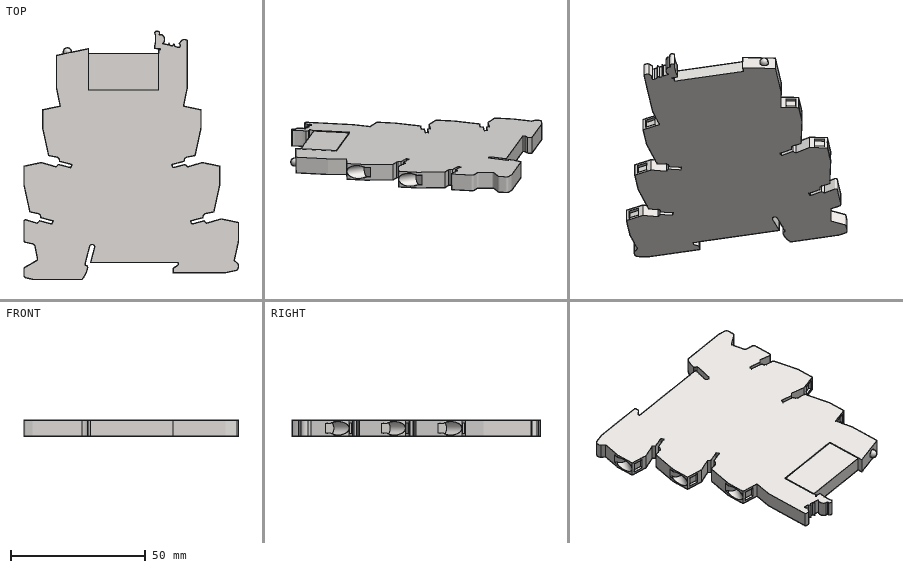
import cadquery as cq
import math

THICKNESS = 6.1
MID_Z = THICKNESS / 2
SYMMETRY_X = 36.5
TIER_SHIFT = 7.0
TIER_RISE = 21.0
LOWEST_SIDE_X = 80.0
LOWEST_CORNER_Y = 21.25
TIER_COUNT = 3
RISING_GRADE = 0.21

FOOT = (2.2, -17.1)
SHOULDER = (0.0, -7.0)
CREST_INSET = 6.5
GAP = [
    (12.0, -0.25),
    (12.9, 0.65),
    (17.4, -0.55),
    (17.9, 0.55),
    (13.3, 1.75),
    (13.1, 2.75),
    (12.5, 3.25),
]

HEAD_SIDE_X = 60.9
HEAD_SHOULDER_Y = 71.4
HEAD_CORNER_Y = 83.5
RELAY_LEFT_X = 24.1
RELAY_RIGHT_X = 50.2
RELAY_BOTTOM_Y = 70.6
RELAY_TOP_Y = 84.25
RELAY_RECESS = 0.3

RAIL_Y = 6.25
RIGHT_FOOT_Y = 2.5

LAMP_X = 16.2
LAMP_RADIUS = 1.55
LAMP_TOP_Y = 86.35
LAMP_ROOT_Y = 82.0

FUNNEL_RADIUS = 2.5
FUNNEL_DEPTH = 7.2
FUNNEL_TILT = math.radians(38)
FUNNEL_LIP_WIDTH = 3.66
FUNNEL_LIP_DEPTH = 2.0
FUNNEL_LIP_START = 1.9
FUNNEL_LIP_END = 5.6
SCREW_POCKET_START = 1.1
SCREW_POCKET_LENGTH = 3.7
SCREW_POCKET_HEIGHT = 4.0
SCREW_POCKET_DEPTH = 1.0


def mirrored(x):
    """X on the other side of the terrace symmetry line."""
    return 2 * SYMMETRY_X - x


def tier_side(tier):
    return LOWEST_SIDE_X - tier * TIER_SHIFT


def tier_corner(tier):
    return LOWEST_CORNER_Y + tier * TIER_RISE


def place(tier, points):
    """Turn inset and height pairs of a tier into right-hand XY points."""
    return [(tier_side(tier) - inset, tier_corner(tier) + height) for inset, height in points]


def mirror_down(points):
    """The same points on the left side, in descending order."""
    return [(mirrored(x), y) for x, y in reversed(points)]


def tier_points(tier):
    """Side, corner and crest of one tier, rising; the top tier ends in the head."""
    outline = [SHOULDER, (0, 0), (CREST_INSET, RISING_GRADE * CREST_INSET)]
    if tier > 0:
        outline.insert(0, FOOT)
    return place(tier, outline)


def terrace_points(first_tier):
    """All tiers from first_tier up, with the gaps between them."""
    points = []
    for tier in range(first_tier, TIER_COUNT):
        points += tier_points(tier)
        if tier < TIER_COUNT - 1:
            points += place(tier, GAP)
    return points


def make_housing():
    right_head = [(HEAD_SIDE_X, HEAD_SHOULDER_Y), (HEAD_SIDE_X, HEAD_CORNER_Y)]
    relay_left_top = HEAD_CORNER_Y + RISING_GRADE * (RELAY_LEFT_X - mirrored(HEAD_SIDE_X))
    relay_right_top = HEAD_CORNER_Y + RISING_GRADE * (HEAD_SIDE_X - RELAY_RIGHT_X)
    relay_notch = [
        (RELAY_RIGHT_X, relay_right_top),
        (RELAY_RIGHT_X, RELAY_TOP_Y),
        (RELAY_LEFT_X, RELAY_TOP_Y),
        (RELAY_LEFT_X, relay_left_top),
    ]
    outline = (
        cq.Workplane("XY")
        .moveTo(3.4, 0)
        .lineTo(21.7, 0)
        .threePointArc((23.0, 2.0), (23.8, 4.5))
        .lineTo(23.7, 5.1)
        .lineTo(22.9, 5.3)
        .lineTo(22.9, 6.1)
        .lineTo(24.5, 12.2)
        .threePointArc((25.6, 13.0), (26.35, 12.1))
        .lineTo(24.8, RAIL_Y)
        .lineTo(57.5, RAIL_Y)
        .lineTo(57.4, 5.35)
        .lineTo(55.6, 4.2)
        .lineTo(55.6, RIGHT_FOOT_Y)
        .lineTo(75.2, RIGHT_FOOT_Y)
        .lineTo(79.3, 3.4)
        .threePointArc((79.97, 4.6), (79.75, 5.9))
        .lineTo(78.4, 7.1)
    )
    rising = terrace_points(0) + right_head
    falling = mirror_down(terrace_points(1) + right_head)
    for point in rising + relay_notch + falling + mirror_down(place(0, GAP)):
        outline = outline.lineTo(*point)
    outline = (
        outline
        .lineTo(1.0, 22.2)
        .threePointArc((0.3, 22.15), (0, 21.7))
        .lineTo(0, 14.65)
        .threePointArc((0.19, 14.1), (0.68, 13.8))
        .lineTo(3.4, 13.2)
        .threePointArc((3.85, 12.95), (4.1, 12.4))
        .lineTo(5.0, 7.9)
        .threePointArc((5.0, 7.4), (4.6, 7.0))
        .lineTo(0.6, 4.7)
        .threePointArc((0.15, 4.35), (0, 3.9))
        .lineTo(0, 1.6)
        .threePointArc((0.2, 1.0), (0.8, 0.6))
        .close()
    )
    return outline.extrude(THICKNESS)


def make_marker_latch():
    """Toothed carrier on the right end of the head."""
    return (
        cq.Workplane("XY")
        .moveTo(HEAD_SIDE_X, HEAD_CORNER_Y)
        .lineTo(HEAD_SIDE_X, 89.1)
        .threePointArc((59.8, 89.45), (58.9, 89.2))
        .lineTo(57.8, 87.9)
        .lineTo(58.3, 87.4)
        .lineTo(58.1, 86.55)
        .lineTo(57.3, 86.55)
        .lineTo(56.3, 86.9)
        .lineTo(55.9, 87.8)
        .lineTo(55.4, 87.05)
        .lineTo(54.4, 87.25)
        .lineTo(54.1, 88.1)
        .lineTo(53.8, 87.45)
        .lineTo(51.8, 87.9)
        .threePointArc((52.4, 89.9), (51.4, 91.2))
        .lineTo(50.5, 91.25)
        .lineTo(50.6, 91.9)
        .threePointArc((49.6, 92.55), (48.7, 91.9))
        .lineTo(48.95, 91.1)
        .lineTo(48.95, 89.05)
        .threePointArc((48.9, 87.9), (48.65, 86.8))
        .lineTo(48.75, 86.0)
        .lineTo(50.8, 85.9)
        .lineTo(50.8, HEAD_CORNER_Y)
        .close()
        .extrude(THICKNESS)
    )


def make_lamp():
    """Round lamp with a domed end, standing along Y on the left roof."""
    dome_y = LAMP_TOP_Y - LAMP_RADIUS
    return (
        cq.Workplane("XY", origin=(LAMP_X, 0, MID_Z))
        .moveTo(0, LAMP_ROOT_Y)
        .lineTo(LAMP_RADIUS, LAMP_ROOT_Y)
        .lineTo(LAMP_RADIUS, dome_y)
        .radiusArc((0, LAMP_TOP_Y), -LAMP_RADIUS)
        .close()
        .revolve(360, (0, 0, 0), (0, 1, 0))
    )


def make_relay_recess():
    return (
        cq.Workplane("XY", origin=(0, 0, THICKNESS - RELAY_RECESS))
        .moveTo(RELAY_LEFT_X, RELAY_BOTTOM_Y)
        .lineTo(RELAY_RIGHT_X, RELAY_BOTTOM_Y)
        .lineTo(RELAY_RIGHT_X, RELAY_TOP_Y)
        .lineTo(RELAY_LEFT_X, RELAY_TOP_Y)
        .close()
        .extrude(RELAY_RECESS)
    )


def make_left_openings(tier):
    """Wire funnel in the side and screw pocket in the roof of a left tier."""
    side_x = mirrored(tier_side(tier))
    corner_y = tier_corner(tier)

    along = cq.Vector(math.sin(FUNNEL_TILT), -math.cos(FUNNEL_TILT), 0)
    outward = cq.Vector(-math.cos(FUNNEL_TILT), -math.sin(FUNNEL_TILT), 0)
    corner = cq.Vector(side_x, corner_y, MID_Z)
    start = corner + outward * FUNNEL_RADIUS - along * FUNNEL_RADIUS
    bore = cq.Solid.makeCylinder(FUNNEL_RADIUS, FUNNEL_DEPTH + FUNNEL_RADIUS, start, along)

    lip_plane = cq.Plane(corner + along * FUNNEL_DEPTH, outward, along * -1)
    lip = (
        cq.Workplane(lip_plane)
        .center((FUNNEL_LIP_START + FUNNEL_LIP_END) / 2, 0)
        .rect(FUNNEL_LIP_END - FUNNEL_LIP_START, FUNNEL_LIP_WIDTH)
        .extrude(FUNNEL_LIP_DEPTH)
    )

    roof_angle = math.degrees(math.atan(RISING_GRADE))
    pocket = (
        cq.Workplane("XY")
        .box(SCREW_POCKET_LENGTH, 2 * SCREW_POCKET_DEPTH, SCREW_POCKET_HEIGHT)
        .translate((SCREW_POCKET_START + SCREW_POCKET_LENGTH / 2, 0, 0))
        .rotate((0, 0, 0), (0, 0, 1), roof_angle)
        .translate(corner)
    )
    return pocket.add(bore).add(lip).combine()


def make_openings():
    """Openings of every tier; the right side mirrors the left."""
    plane_point = (SYMMETRY_X, 0, 0)
    openings = []
    for tier in range(TIER_COUNT):
        left = make_left_openings(tier)
        openings.append(left.mirror("YZ", plane_point))
        if tier > 0:
            openings.append(left)
    return openings


result = make_housing().union(make_marker_latch()).union(make_lamp())
result = result.cut(make_relay_recess())
for opening in make_openings():
    result = result.cut(opening)